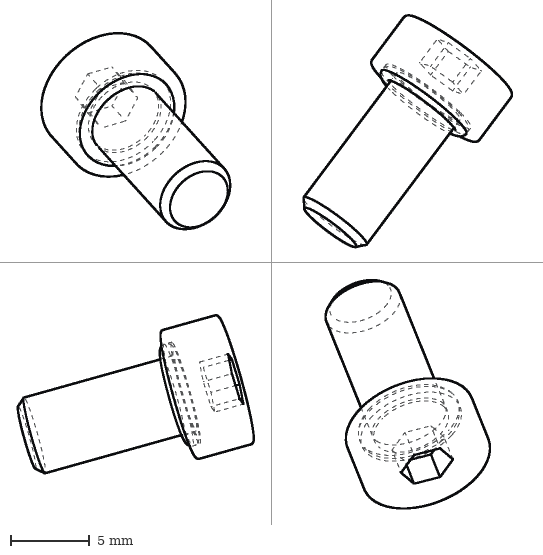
import cadquery as cq
import math

total_length = 13.8
head_diameter = 8.5
head_length = 3.78
head_edge_radius = 0.2
shank_diameter = 5.0
tip_diameter = 4.11
tip_chamfer_length = 0.51
socket_across_flats = 3.0
socket_depth = head_length / 2

ring_section_diameter = 0.85
ring_protrusion = 0.37

head_radius = head_diameter / 2
shank_radius = shank_diameter / 2
ring_section_radius = ring_section_diameter / 2
ring_center_radius = shank_radius + ring_section_radius
groove_outer_radius = shank_radius + ring_section_diameter
groove_depth = ring_section_diameter - ring_protrusion
groove_floor_x = head_length - groove_depth


def make_screw_blank():
    """Turned head and shank, with the ring groove in the underside of the head."""
    profile = [
        (0, 0),
        (0, head_radius),
        (head_length, head_radius),
        (head_length, groove_outer_radius),
        (groove_floor_x, groove_outer_radius),
        (groove_floor_x, shank_radius),
        (total_length - tip_chamfer_length, shank_radius),
        (total_length, tip_diameter / 2),
        (total_length, 0),
    ]
    blank = cq.Workplane("XZ").polyline(profile).close().revolve(360, (0, 0), (1, 0))
    head_rims = blank.edges(cq.selectors.RadiusNthSelector(-1))
    return head_rims.fillet(head_edge_radius)


def make_socket():
    """Flat-bottomed hexagonal recess with two corners on the Y axis."""
    across_corners = socket_across_flats / math.cos(math.pi / 6)
    return cq.Workplane("YZ").polygon(6, across_corners).extrude(socket_depth)


def make_screw():
    return make_screw_blank().cut(make_socket())


def make_sealing_ring():
    """Round-section ring that touches the shank and the groove."""
    ring_center_x = groove_floor_x + ring_section_radius
    return (
        cq.Workplane("XZ")
        .center(ring_center_x, ring_center_radius)
        .circle(ring_section_radius)
        .revolve(360, (0, -ring_center_radius), (1, -ring_center_radius))
    )


screw = make_screw()
sealing_ring = make_sealing_ring()
result = cq.Compound.makeCompound([*screw.solids().vals(), *sealing_ring.vals()])